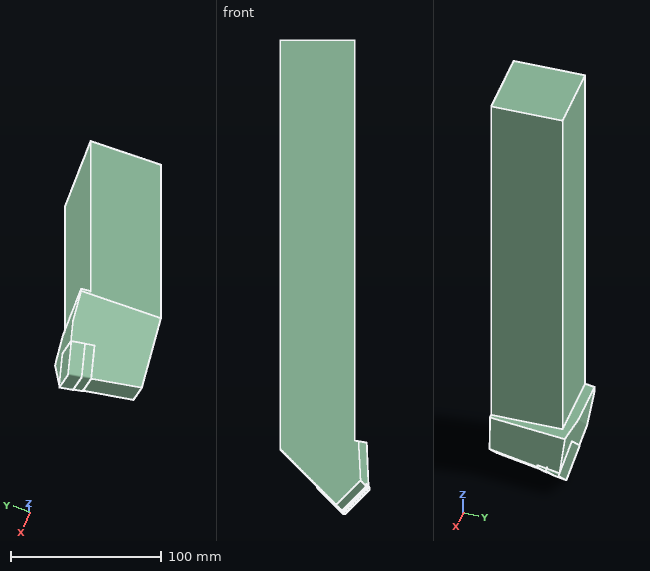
import cadquery as cq
import math

total_height = 316.0
shank_size = 50.0

head_depth = 56.5
shoulder_z = 49.3
roof_angle = 10.0
rake_angle = 9.0

trailing_start_z = 43.3
trailing_draft = 0.6
cutting_offset = 31.0
side_corner_x = 53.7
side_corner_z = 22.0
side_lean = 3.0
side_relief = 5.8

rake_start = -12.0

insert_size = 25.0
insert_thickness = 9.5
nose_radius = 1.3
insert_cutting_offset = 43.3
insert_trailing_offset = 42.3
seat_setback = 0.3
seat_thickness = 6.5

cutter_size = 158.0
root_two = math.sqrt(2)
rake_slope = math.tan(math.radians(rake_angle))


def head_section(y):
    """Closed wire of the head at depth y, in the XZ plane."""
    trailing_sum = trailing_start_z + root_two * y * math.tan(math.radians(trailing_draft))
    cutting_difference = cutting_offset + root_two * y * rake_slope
    lean = math.tan(math.radians(side_lean))
    side_x = side_corner_x + y * math.tan(math.radians(side_relief))

    tip_x = (trailing_sum + cutting_difference) / 2
    tip_z = (trailing_sum - cutting_difference) / 2
    corner_x = (side_x + lean * (cutting_difference + side_corner_z)) / (1 + lean)
    corner_z = corner_x - cutting_difference
    shoulder_x = side_x - lean * (shoulder_z - side_corner_z)

    outline = [
        (0, trailing_sum),
        (tip_x, tip_z),
        (corner_x, corner_z),
        (shoulder_x, shoulder_z),
        (0, shoulder_z),
    ]
    return cq.Wire.makePolygon([cq.Vector(x, y, z) for x, z in outline], close=True)


def roof_cutter(plane_name, length):
    """Wedge above a roof face that slopes down away from the shank."""
    drop = cutter_size * math.tan(math.radians(roof_angle))
    return (
        cq.Workplane(plane_name)
        .moveTo(shank_size, shoulder_z)
        .lineTo(shank_size + cutter_size, shoulder_z)
        .lineTo(shank_size + cutter_size, shoulder_z - drop)
        .close()
        .extrude(length)
    )


def make_rake_plane():
    """Plane of the rake face: local X runs to the cutting edge, local Y to the trailing edge."""
    cosine = math.cos(math.radians(rake_angle))
    sine = math.sin(math.radians(rake_angle))
    return cq.Plane(
        origin=(rake_start / 2, head_depth, -rake_start / 2),
        xDir=(cosine / root_two, -sine, -cosine / root_two),
        normal=(sine / root_two, cosine, -sine / root_two),
    )


rake_plane = make_rake_plane()

cutting_edge = (insert_cutting_offset - rake_start) / root_two / math.cos(math.radians(rake_angle))
trailing_edge = -insert_trailing_offset / root_two


def square_plate(setback, depth, thickness):
    """Nose-rounded square below the rake face, set back from the two exposed insert edges."""
    size = insert_size - setback
    return (
        cq.Workplane(rake_plane)
        .workplane(offset=-depth)
        .center(cutting_edge - setback - size / 2, trailing_edge - setback - size / 2)
        .rect(size, size)
        .extrude(-thickness)
        .edges(cq.selectors.ParallelDirSelector(rake_plane.zDir))
        .fillet(nose_radius)
    )


def make_insert():
    return square_plate(0, 0, insert_thickness)


def make_holder(insert):
    head = cq.Workplane(
        cq.Solid.makeLoft([head_section(0), head_section(head_depth)], True)
    )
    head = head.cut(roof_cutter("XZ", -cutter_size))
    head = head.cut(roof_cutter("YZ", cutter_size))
    above_rake = cq.Workplane(rake_plane).rect(cutter_size, cutter_size).extrude(cutter_size)
    head = head.cut(above_rake)

    shank = (
        cq.Workplane("XY")
        .workplane(offset=shoulder_z)
        .rect(shank_size, shank_size, centered=False)
        .extrude(total_height - shoulder_z)
    )
    seat = square_plate(seat_setback, insert_thickness, seat_thickness)
    return head.union(shank).union(seat).cut(insert)


insert = make_insert()
holder = make_holder(insert)

result = cq.Compound.makeCompound([holder.val(), insert.val()])